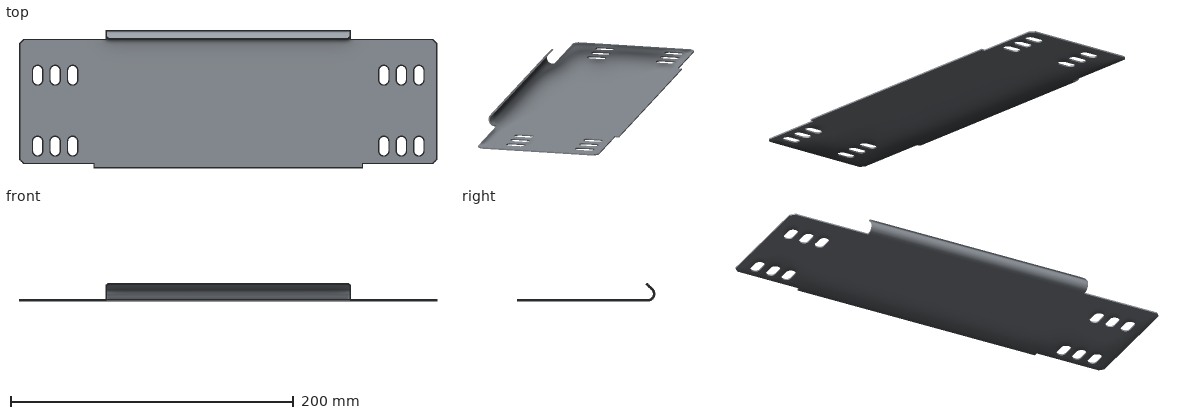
import cadquery as cq
import math

length = 295.0
plate_width = 88.0
thickness = 1.0
corner_chamfer = 3.0

tongue_length = 190.0
tongue_depth = 3.0

hook_length = 173.0
hook_reach = 6.2
hook_root_overlap = 6.0
hook_outer_radius = 5.0
lip_length = 5.5
lip_angle = 45.0
lip_corner_chamfer = 1.8

slot_width = 7.0
slot_length = 14.0
slot_columns = 3
slot_rows = 2
slot_pitch = 12.5
outer_slot_x = 134.8
slot_row_spacing = 50.2
lower_slot_y = 12.5



def make_plate():
    plate = cq.Workplane("XY").box(length, plate_width, thickness, centered=(True, False, False))
    plate = plate.edges("|Z").chamfer(corner_chamfer)
    tongue = (
        cq.Workplane("XY")
        .box(tongue_length, plate_width + tongue_depth, thickness, centered=(True, False, False))
        .translate((0, -tongue_depth, 0))
    )
    return plate.union(tongue)


def make_hook():
    """Strip curling up from the plate and ending in a straight lip leaning back over it."""
    axis_y = plate_width + hook_reach - hook_outer_radius
    axis_z = hook_outer_radius
    inner_radius = hook_outer_radius - thickness
    angle = math.radians(lip_angle)

    def on_arc(radius, degrees):
        turn = math.radians(degrees)
        return (axis_y + radius * math.cos(turn), axis_z + radius * math.sin(turn))

    def lip_end(radius):
        y, z = on_arc(radius, lip_angle)
        return (y - lip_length * math.sin(angle), z + lip_length * math.cos(angle))

    root_y = plate_width - hook_root_overlap
    hook = (
        cq.Workplane("YZ")
        .moveTo(root_y, 0)
        .lineTo(axis_y, 0)
        .threePointArc(on_arc(hook_outer_radius, 0), on_arc(hook_outer_radius, lip_angle))
        .lineTo(*lip_end(hook_outer_radius))
        .lineTo(*lip_end(inner_radius))
        .lineTo(*on_arc(inner_radius, lip_angle))
        .threePointArc(on_arc(inner_radius, 0), (axis_y, thickness))
        .lineTo(root_y, thickness)
        .close()
        .extrude(hook_length / 2, both=True)
    )
    across_lip = cq.Vector(0, math.cos(angle), math.sin(angle))
    free_corners = cq.selectors.ParallelDirSelector(across_lip)
    return hook.edges(free_corners).chamfer(lip_corner_chamfer)


def slot_centers():
    return [
        (side * (outer_slot_x - column * slot_pitch), lower_slot_y + row * slot_row_spacing)
        for side in (-1, 1)
        for column in range(slot_columns)
        for row in range(slot_rows)
    ]


def make_slots():
    return (
        cq.Workplane("XY")
        .pushPoints(slot_centers())
        .slot2D(slot_length, slot_width, 90)
        .extrude(thickness)
    )


result = make_plate().union(make_hook()).cut(make_slots())